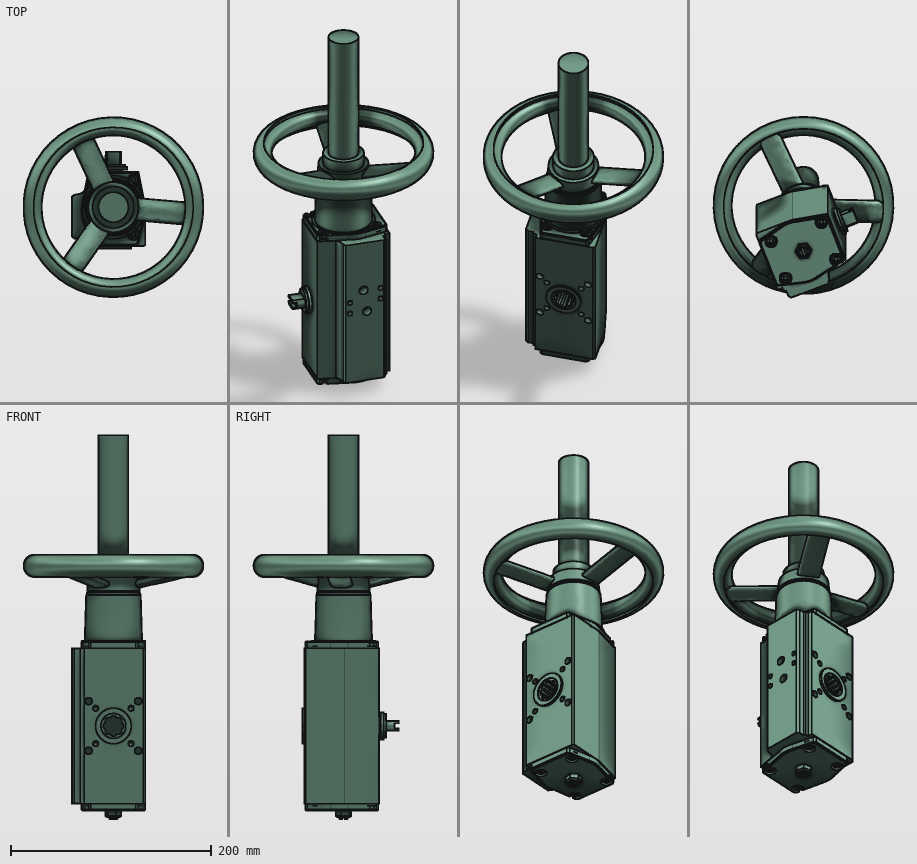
import cadquery as cq
import math


body_half_height = 77.5
front_y = -39.0
back_y = 35.5
housing_half_width = 32.0
flank_back_x = 25.0
flank_slope = 0.2
port_face_x = -41.6
front_left_x = -29.3
corner_bevel_width = 2.3
corner_bevel_depth = 1.3

cap_thickness = 7.1
cap_inset = 0.6
cap_corner_bevel = 2.0
cap_edge_chamfer = 1.2
cap_crown_back_y = 4.2
cap_crown_front_y = -13.0
cap_top_z = body_half_height + cap_thickness
cap_screw_x = 20.2
cap_screw_y = 27.0
cap_screw_pocket_radius = 6.0
cap_screw_pocket_depth = 5.0
cap_screw_head_radius = 4.2
cap_screw_head_height = 3.5
cap_screw_socket_radius = 2.0
cap_screw_socket_depth = 2.0

spigot_radius = 17.8
spigot_height = 2.3
spigot_recess_radius = 12.5
spigot_recess_depth = 1.0
bore_square = 16.4
bore_corner_radius = 10.3
bore_depth = 25.0
small_hole_offset = 17.7
small_hole_diameter = 5.6
large_hole_offset = 24.8
large_hole_diameter = 7.2
mounting_hole_depth = 12.0

drill_point_angle = 118.0

port_diameter = 9.0
port_positions = ((-7.9, 24.0), (-11.6, 0.0))
port_depth = 12.0
port_screw_diameter = 4.8
port_screw_positions = ((6.3, 0.0), (6.3, 12.0), (-25.7, 12.0), (-25.7, 24.0))
port_screw_depth = 8.0

stub_collars = ((9.0, 37.2), (13.9, 40.3), (12.0, 42.6))
stub_radius = 8.0
stub_end_y = 55.4
stub_flats = 10.0
stub_slot_width = 5.0
stub_slot_depth = 4.2

nut_sides = 6
nut_corner_radius = 8.2
nut_turn = -15.0
nut_bottom_z = -91.2
nut_chamfer = 1.5
stop_screw_radius = 4.4
stop_screw_tip_chamfer = 0.6
stop_screw_slot_width = 2.8
stop_screw_slot_depth = 1.5
stop_screw_bottom_z = -93.1

part_height = 383.6
flange_radius = 31.6
flange_top_z = 85.0
neck_bottom_radius = 28.8
neck_top_radius = 27.4
neck_top_z = 131.4
neck_top_chamfer = 0.6
spindle_radius = 15.0
spindle_top_z = stop_screw_bottom_z + part_height

wheel_radius = 90.0
wheel_z = 160.0
rim_center_radius = 79.8
rim_outer_half_height = 11.3
rim_inner_radius = 8.2
groove_radius = 25.4
groove_lower_z = 133.6
groove_upper_z = 135.0
hub_bottom_radius = 26.4
hub_top_radius = 25.0
hub_top_z = 148.4
collar_radius = 20.5
spoke_count = 3
spoke_first_angle = -5.0
spoke_width = 22.5
spoke_thickness = 9.0
spoke_start_radius = 18.0
spoke_start_z = 140.6
spoke_rise_angle = 13.0


def cylinder_z(radius, z_from, z_to, x=0.0, y=0.0):
    return cq.Workplane("XY", origin=(x, y, z_from)).circle(radius).extrude(z_to - z_from)


def cylinder_y(radius, y_from, y_to):
    return cq.Workplane("XZ", origin=(0, y_from, 0)).circle(radius).extrude(y_from - y_to)


def flank_x(y):
    """Half width of the housing between its two sloping flanks."""
    return flank_back_x + flank_slope * (back_y - y)


def make_body():
    pad_back_y = 10.6
    pad_front_y = -29.0
    pad_foot_y = 13.4
    pad_foot_x = -34.0
    hollow_back_y = 17.2
    hollow_mid = (-31.0, 14.6)
    pad_bevel = 2.7
    pad_back_rise = 1.8
    pad_bevel_x = port_face_x + pad_bevel
    pad_side_y = -31.4
    step_x = -33.1
    step_y = -33.9
    right_corner_y = back_y - (housing_half_width - flank_back_x) / flank_slope
    outline = (
        cq.Workplane("XY", origin=(0, 0, -body_half_height))
        .moveTo(flank_back_x, back_y)
        .lineTo(housing_half_width, right_corner_y)
        .lineTo(housing_half_width, front_y + corner_bevel_depth)
        .lineTo(housing_half_width - corner_bevel_width, front_y)
        .lineTo(front_left_x, front_y)
        .lineTo(front_left_x, step_y)
        .lineTo(step_x, step_y)
        .lineTo(step_x, pad_side_y)
        .lineTo(pad_bevel_x, pad_side_y)
        .lineTo(port_face_x, pad_front_y)
        .lineTo(port_face_x, pad_back_y)
        .lineTo(pad_bevel_x, pad_back_y + pad_back_rise)
        .lineTo(pad_foot_x, pad_foot_y)
        .threePointArc(hollow_mid, (-flank_x(hollow_back_y), hollow_back_y))
        .lineTo(-flank_back_x, back_y)
        .close()
    )
    return outline.extrude(2 * body_half_height)


def make_cap(bottom):
    """Upper end cap, or its mirror image at the bottom."""
    cap_back_y = back_y - cap_inset
    cap_front_y = front_y + cap_inset
    crown_mid_y = (cap_crown_back_y + cap_crown_front_y) / 2
    crown_end_x = flank_x(cap_crown_back_y) - cap_inset
    corner_x = flank_back_x - cap_inset
    cap = (
        cq.Workplane("XY", origin=(0, 0, body_half_height))
        .moveTo(-corner_x, cap_back_y)
        .lineTo(corner_x, cap_back_y)
        .lineTo(crown_end_x, cap_crown_back_y)
        .threePointArc((housing_half_width, crown_mid_y), (crown_end_x, cap_crown_front_y))
        .lineTo(corner_x, cap_front_y)
        .lineTo(-corner_x, cap_front_y)
        .lineTo(-crown_end_x, cap_crown_front_y)
        .threePointArc((-housing_half_width, crown_mid_y), (-crown_end_x, cap_crown_back_y))
        .close()
        .extrude(cap_thickness)
    )
    front_and_back = cap.faces("<Y or >Y")
    cap = front_and_back.edges("|Z").chamfer(cap_corner_bevel)
    cap = cap.faces(">Z").chamfer(cap_edge_chamfer)
    floor_z = cap_top_z - cap_screw_pocket_depth
    head_z = floor_z + cap_screw_head_height
    socket_z = head_z - cap_screw_socket_depth
    for x in (-cap_screw_x, cap_screw_x):
        for y in (-cap_screw_y, cap_screw_y):
            head = cylinder_z(cap_screw_head_radius, floor_z, head_z, x, y)
            socket = cylinder_z(cap_screw_socket_radius, socket_z, head_z, x, y)
            cap = cap.cut(cylinder_z(cap_screw_pocket_radius, floor_z, cap_top_z, x, y))
            cap = cap.union(head.cut(socket))
    return cap.mirror("XY") if bottom else cap


def cut_drilled_holes(part, plane, positions, diameter, depth):
    """Blind holes with conical drill points, cut into a plane's face."""
    radius = diameter / 2
    tip_depth = depth + radius / math.tan(math.radians(drill_point_angle / 2))
    drill = (
        cq.Workplane("XZ")
        .polyline([(0, 0), (radius, 0), (radius, -depth), (0, -tip_depth)])
        .close()
        .revolve(360, (0, 0, 0), (0, 1, 0))
        .val()
    )
    location = cq.Location(plane)
    for u, v in positions:
        part = part.cut(cq.Workplane(drill.moved(location * cq.Location(cq.Vector(u, v, 0)))))
    return part


def cut_mounting_face(part):
    """Star bore, its recess and the two squares of threaded holes."""
    spigot_y = front_y - spigot_height
    part = part.cut(cylinder_y(spigot_recess_radius, spigot_y, spigot_y + spigot_recess_depth))
    bore_plane = cq.Workplane("XZ", origin=(0, spigot_y, 0))
    square = bore_plane.rect(bore_square, bore_square).extrude(-bore_depth)
    cross_angle = 45
    star = square.union(square.rotate((0, 0, 0), (0, 1, 0), cross_angle))
    part = part.cut(star.intersect(bore_plane.circle(bore_corner_radius).extrude(-bore_depth)))
    face = cq.Plane(origin=(0, front_y, 0), xDir=(1, 0, 0), normal=(0, -1, 0))
    offsets = (-small_hole_offset, small_hole_offset)
    small_holes = [(x, z) for x in offsets for z in offsets]
    part = cut_drilled_holes(part, face, small_holes, small_hole_diameter, mounting_hole_depth)
    large_holes = (
        cq.Workplane(face)
        .rect(2 * large_hole_offset, 2 * large_hole_offset, forConstruction=True)
        .vertices()
        .circle(large_hole_diameter / 2)
        .extrude(-mounting_hole_depth)
    )
    return part.cut(large_holes)


def cut_air_connection(part):
    """Two air ports and the threaded holes around them."""
    face = cq.Plane(origin=(port_face_x, 0, 0), xDir=(0, -1, 0), normal=(-1, 0, 0))
    ports = [(-y, z) for y, z in port_positions]
    screws = [(-y, z) for y, z in port_screw_positions]
    part = cut_drilled_holes(part, face, ports, port_diameter, port_depth)
    return cut_drilled_holes(part, face, screws, port_screw_diameter, port_screw_depth)


def make_stub():
    """Stepped collars and the flatted, slotted end of the drive shaft."""
    shaft = cylinder_y(stub_radius, back_y, stub_end_y)
    length = stub_end_y - back_y
    shaft = shaft.intersect(
        cq.Workplane("XY").box(2 * stub_radius, length, stub_flats)
        .translate((0, back_y + length / 2, 0))
    )
    slot = cq.Workplane("XY").box(2 * stub_radius, stub_slot_depth, stub_slot_width)
    stub = shaft.cut(slot.translate((0, stub_end_y - stub_slot_depth / 2, 0)))
    start_y = back_y
    for radius, end_y in stub_collars:
        stub = stub.union(cylinder_y(radius, start_y, end_y))
        start_y = end_y
    return stub


def make_stop_screw():
    """Hexagon nut and slotted screw tip below the lower cap."""
    nut = (
        cq.Workplane("XY", origin=(0, 0, nut_bottom_z))
        .polygon(nut_sides, 2 * nut_corner_radius)
        .extrude(-cap_top_z - nut_bottom_z)
        .rotate((0, 0, 0), (0, 0, 1), nut_turn)
        .faces("<Z").chamfer(nut_chamfer)
    )
    screw = cylinder_z(stop_screw_radius, stop_screw_bottom_z, nut_bottom_z)
    screw = screw.faces("<Z").chamfer(stop_screw_tip_chamfer)
    slot = cq.Workplane("XY").box(2 * stop_screw_radius, stop_screw_slot_width, stop_screw_slot_depth)
    screw = screw.cut(slot.translate((0, 0, stop_screw_bottom_z + stop_screw_slot_depth / 2)))
    return nut.union(screw)


def make_column():
    """Neck, hub, collar and spindle as one turned profile."""
    return (
        cq.Workplane("XZ")
        .moveTo(0, cap_top_z)
        .lineTo(flange_radius, cap_top_z)
        .lineTo(flange_radius, flange_top_z)
        .lineTo(neck_bottom_radius, flange_top_z)
        .lineTo(neck_top_radius, neck_top_z - neck_top_chamfer)
        .lineTo(neck_top_radius - neck_top_chamfer, neck_top_z)
        .lineTo(hub_bottom_radius, groove_lower_z)
        .lineTo(groove_radius, groove_lower_z)
        .lineTo(groove_radius, groove_upper_z)
        .lineTo(hub_bottom_radius, groove_upper_z)
        .lineTo(hub_top_radius, hub_top_z)
        .lineTo(collar_radius, hub_top_z)
        .lineTo(collar_radius, wheel_z)
        .lineTo(spindle_radius, wheel_z)
        .lineTo(spindle_radius, spindle_top_z)
        .lineTo(0, spindle_top_z)
        .close()
        .revolve(360, (0, 0, 0), (0, 1, 0))
    )


def make_wheel():
    """Rim with a stepped round section on flat oval spokes that rise outward from the hub."""
    wheel = (
        cq.Workplane("XZ")
        .moveTo(rim_center_radius, wheel_z - rim_outer_half_height)
        .threePointArc((wheel_radius, wheel_z), (rim_center_radius, wheel_z + rim_outer_half_height))
        .lineTo(rim_center_radius, wheel_z + rim_inner_radius)
        .threePointArc(
            (rim_center_radius - rim_inner_radius, wheel_z),
            (rim_center_radius, wheel_z - rim_inner_radius),
        )
        .close()
        .revolve(360, (0, 0, 0), (0, 1, 0))
    )
    rise = math.radians(spoke_rise_angle)
    spoke_plane = cq.Plane(
        origin=(spoke_start_radius, 0, spoke_start_z),
        xDir=(0, 1, 0),
        normal=(math.cos(rise), 0, math.sin(rise)),
    )
    spoke_length = (rim_center_radius - spoke_start_radius) / math.cos(rise)
    spoke = (
        cq.Workplane(spoke_plane)
        .ellipse(spoke_width / 2, spoke_thickness / 2)
        .extrude(spoke_length)
    )
    for index in range(spoke_count):
        angle = spoke_first_angle + index * 360 / spoke_count
        wheel = wheel.union(spoke.rotate((0, 0, 0), (0, 0, 1), angle))
    return wheel


housing = make_body().union(make_cap(bottom=False)).union(make_cap(bottom=True))
housing = housing.union(cylinder_y(spigot_radius, front_y - spigot_height, front_y))
housing = cut_mounting_face(housing)
housing = cut_air_connection(housing)
housing = housing.union(make_stub()).union(make_stop_screw())

result = housing.union(make_column()).union(make_wheel())